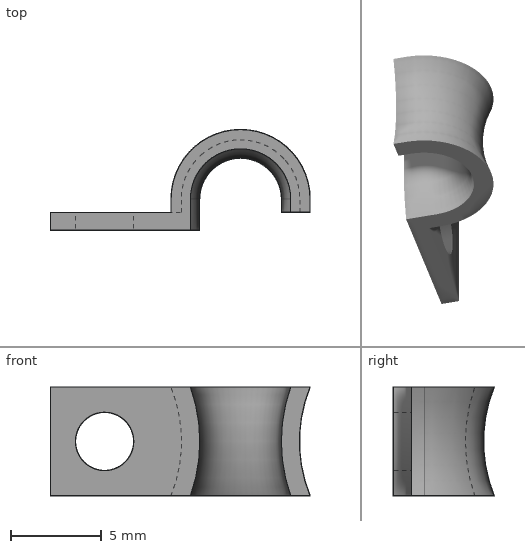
import cadquery as cq

length = 14.33
height = 6.0
thickness = 1.0
outer_radius = 3.84
inner_radius = 2.77
bore_waist_radius = 2.25
loop_center_y = 1.73
hole_x = 3.0
hole_diameter = 3.2

loop_center_x = length - outer_radius
mid_z = height / 2
outer_waist_radius = bore_waist_radius + thickness


def wall_section(side):
    """Waisted wall section in the XZ plane; side is -1 for left, 1 for right."""
    def at(radius, z):
        return (loop_center_x + side * radius, z)

    return (
        cq.Workplane("XZ", origin=(0, loop_center_y, 0))
        .moveTo(*at(inner_radius, 0))
        .lineTo(*at(outer_radius, 0))
        .threePointArc(at(outer_waist_radius, mid_z), at(outer_radius, height))
        .lineTo(*at(inner_radius, height))
        .threePointArc(at(bore_waist_radius, mid_z), at(inner_radius, 0))
        .close()
    )


def half_loop():
    """Half turn of the wall section, from the right leg over to the left leg."""
    return wall_section(1).revolve(180, (loop_center_x, 0), (loop_center_x, 1))


def flange():
    """Flat plate whose inner end follows the curve of the bore."""
    bore_edge_x = loop_center_x - inner_radius
    bore_waist_x = loop_center_x - bore_waist_radius
    plate = (
        cq.Workplane("XZ")
        .lineTo(bore_edge_x, 0)
        .threePointArc((bore_waist_x, mid_z), (bore_edge_x, height))
        .lineTo(0, height)
        .close()
        .extrude(-thickness)
    )
    hole = (
        cq.Workplane("XZ")
        .center(hole_x, mid_z)
        .circle(hole_diameter / 2)
        .extrude(-thickness)
    )
    return plate.cut(hole)


leg_length = loop_center_y - thickness
left_leg = wall_section(-1).extrude(leg_length)
right_leg = wall_section(1).extrude(leg_length)

result = half_loop().union(left_leg).union(right_leg).union(flange())